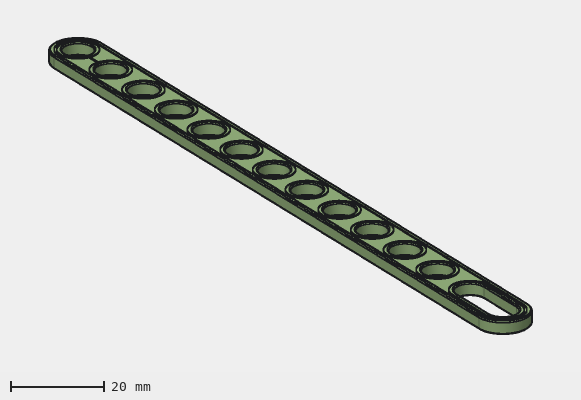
import cadquery as cq

LENGTH = 175.0
PITCH_COUNT = 14
PITCH = LENGTH / PITCH_COUNT
WIDTH = PITCH
THICKNESS = PITCH / 4
EDGE_CHAMFER = 0.3

HOLE_DIAMETER = 7.0
ROUND_HOLE_COUNT = PITCH_COUNT - 2
FIRST_HOLE_X = -LENGTH / 2 + PITCH / 2
SLOT_X = FIRST_HOLE_X + (ROUND_HOLE_COUNT + 0.5) * PITCH

RIM_WIDTH = 1.1
COLLAR_DIAMETER = HOLE_DIAMETER + 2 * RIM_WIDTH
RECESS_DEPTH = 0.2
RECESS_FLOOR = THICKNESS - RECESS_DEPTH

GROOVE_WIDTH = 0.2
GROOVE_DEPTH = RECESS_DEPTH
GROOVE_LENGTH = PITCH - COLLAR_DIAMETER
GROOVE_X = FIRST_HOLE_X + PITCH / 2


def stadium(length, width, bottom, height):
    """Upright round-ended bar along X, centred on the Z axis."""
    return cq.Workplane("XY").workplane(offset=bottom).slot2D(length, width).extrude(height)


def opening_plugs(diameter, bottom, height):
    """A cylinder at every round hole and a stadium at the slot."""
    hole_centres = [(FIRST_HOLE_X + i * PITCH, 0) for i in range(ROUND_HOLE_COUNT)]
    cylinders = (
        cq.Workplane("XY")
        .workplane(offset=bottom)
        .pushPoints(hole_centres)
        .circle(diameter / 2)
        .extrude(height)
    )
    slot = stadium(PITCH + diameter, diameter, bottom, height).translate((SLOT_X, 0, 0))
    return cylinders.union(slot)


def perforated_bar():
    """Round-ended bar with its openings, all top and bottom edges chamfered."""
    bar = stadium(LENGTH, WIDTH, 0, THICKNESS)
    bar = bar.cut(opening_plugs(HOLE_DIAMETER, 0, THICKNESS))
    return bar.faces("<Z or >Z").edges().chamfer(EDGE_CHAMFER)


def top_recess():
    """Material removed inside the rim, leaving the collars standing."""
    inside_rim = stadium(LENGTH - 2 * RIM_WIDTH, WIDTH - 2 * RIM_WIDTH, RECESS_FLOOR, RECESS_DEPTH)
    return inside_rim.cut(opening_plugs(COLLAR_DIAMETER, RECESS_FLOOR, RECESS_DEPTH))


def floor_groove():
    """Narrow groove sunk below the recess floor."""
    groove = cq.Workplane("XY").box(GROOVE_LENGTH, GROOVE_WIDTH, GROOVE_DEPTH)
    return groove.translate((GROOVE_X, 0, RECESS_FLOOR - GROOVE_DEPTH / 2))


result = perforated_bar().cut(top_recess()).cut(floor_groove())